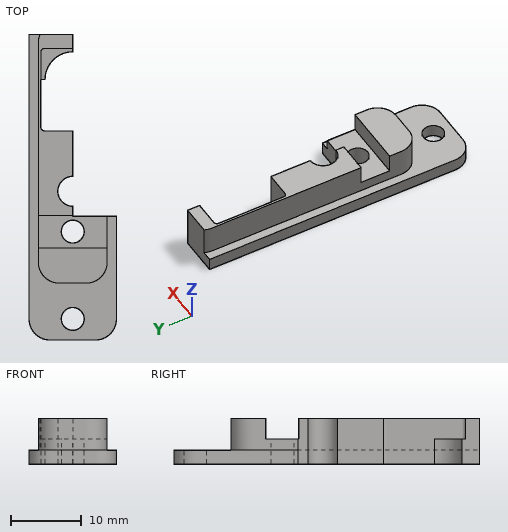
import cadquery as cq


base_width = 12.4
length = 43.22
base_thickness = 2.0
corner_radius = 3.0
full_width_length = 17.55

margin = 1.325
body_width = base_width - 2 * margin
body_front = 8.05
total_height = 6.5
rear_overrun = 1.8

groove_front = 13.0
groove_rear = 17.65
groove_floor = 3.6

hole_diameter = 3.2
hole_positions = (3.0, 15.35)

notch_radius = 2.1
notch_y = 21.05

side_wall = 0.375
pocket_front = 29.6
pocket_rear = 41.25
pocket_corner_radius = 0.5

ledge_front = 36.85
ledge_top = groove_floor
ledge_opening_radius = 3.9


def box(x_min, x_max, y_min, y_max, z_min, z_max):
    """Axis-aligned block between the given limits."""
    size = (x_max - x_min, y_max - y_min, z_max - z_min)
    return cq.Workplane("XY").box(*size, centered=False).translate((x_min, y_min, z_min))


def through_cylinder(y, radius):
    """Vertical cylinder on the centre line, through the full height."""
    return cq.Workplane("XY").center(0, y).circle(radius).extrude(total_height)


def make_base():
    plate = box(-base_width / 2, base_width / 2, 0, length, 0, base_thickness)
    return plate.edges("|Z and <Y").fillet(corner_radius)


def make_body():
    half_width = body_width / 2
    body = box(-half_width, half_width, body_front, length + rear_overrun, 0, total_height)
    body = body.edges("|Z").fillet(corner_radius)
    rear_trim = box(-half_width, half_width, length, length + rear_overrun, 0, total_height)
    return body.cut(rear_trim)


def make_open_half():
    """Region removed on the +X side, leaving only the -X half at the rear."""
    return box(0, base_width / 2, full_width_length, length, 0, total_height)


def make_groove():
    half_width = body_width / 2
    return box(-half_width, half_width, groove_front, groove_rear, groove_floor, total_height)


def make_pocket():
    """Pocket open to the top; also open below except where the ledge remains."""
    half_width = body_width / 2 - side_wall
    pocket = box(-half_width, half_width, pocket_front, pocket_rear, 0, total_height)
    pocket = pocket.edges("|Z").fillet(pocket_corner_radius)
    ledge = box(-half_width, half_width, ledge_front, pocket_rear, 0, ledge_top)
    ledge = ledge.cut(through_cylinder(ledge_front, ledge_opening_radius))
    return pocket.cut(ledge)


result = make_base().union(make_body())
result = result.cut(make_open_half())
result = result.cut(make_groove())
result = result.cut(make_pocket())
result = result.cut(through_cylinder(notch_y, notch_radius))
for hole_y in hole_positions:
    result = result.cut(through_cylinder(hole_y, hole_diameter / 2))